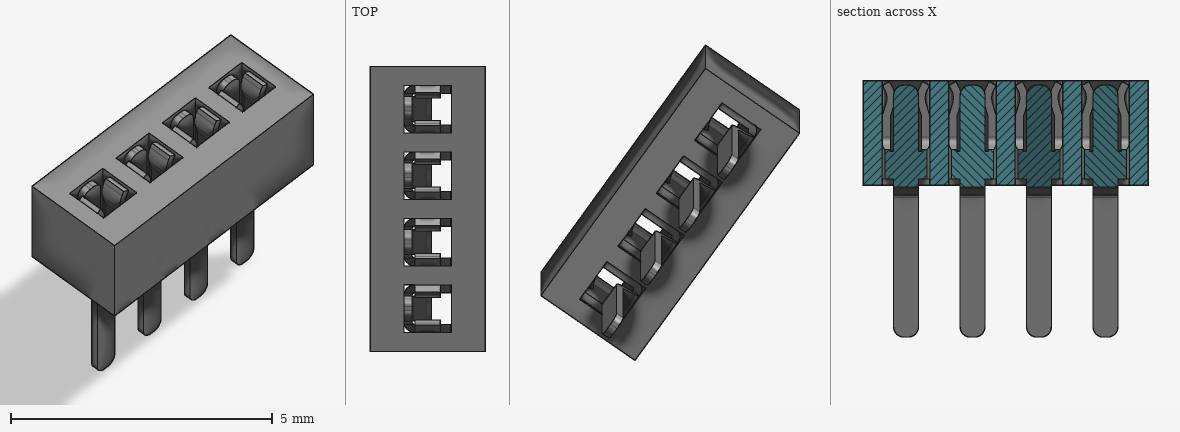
import cadquery as cq
import math

housing_width = 2.2
housing_length = 5.45
housing_height = 2.0
contact_count = 4
pitch = 1.27
hole_size = 0.905

sheet = 0.15
bend_inner = 0.05
bend_outer = bend_inner + sheet

half_hole = hole_size / 2
inner_face = half_hole - sheet
strap_end = 0.44
strap_top = 0.655

tongue_width = 0.48
tongue_top = 1.92
round_radius = 0.2

tail_tilt = math.radians(28)
tail_bottom = -2.9
tail_straight_top = -0.23

arm_start = -0.245
arm_width = 0.485
arm_end = arm_start + arm_width
root_radius = 0.27
contact_half_gap = 0.21
contact_height = 1.67
contact_radius = 0.485
lead_in_tilt = math.radians(28)
lead_in_length = 0.1
lower_tilt = math.radians(17)


def polar(center, radius, angle):
    """Point at the given radius and angle (counterclockwise) from a centre."""
    return (center[0] + radius * math.cos(angle), center[1] + radius * math.sin(angle))


slope_normal = math.pi / 2 - tail_tilt
lower_center = (sheet / 2 - bend_outer, tail_straight_top)
upper_center_x = -inner_face + bend_inner
slope_end = polar(lower_center, bend_outer, slope_normal)
slope_start_x = upper_center_x - bend_inner * math.cos(slope_normal)
slope_start_z = slope_end[1] + (slope_end[0] - slope_start_x) * math.tan(tail_tilt)
strap_bottom = slope_start_z + bend_inner * math.sin(slope_normal)
upper_center = (upper_center_x, strap_bottom)


def make_housing():
    block = cq.Workplane("XY").box(
        housing_width, housing_length, housing_height, centered=(True, True, False)
    )
    holes = (
        cq.Workplane("XY")
        .rarray(0.055, pitch, 1, contact_count)
        .rect(hole_size, hole_size)
        .extrude(housing_height)
    )
    return block.cut(holes)


def strap_column(top):
    """U section with bent corners, open toward +X, from the strap bottom to a given height."""
    height = top - strap_bottom
    outer = (
        cq.Workplane("XY")
        .box(half_hole + strap_end, hole_size, height, centered=(False, True, False))
        .translate((-half_hole, 0, strap_bottom))
        .edges("|Z and <X")
        .fillet(bend_outer)
    )
    inner = (
        cq.Workplane("XY")
        .box(inner_face + strap_end, 2 * inner_face, height, centered=(False, True, False))
        .translate((-inner_face, 0, strap_bottom))
        .edges("|Z and <X")
        .fillet(bend_inner)
    )
    return outer.cut(inner)


def make_tongue():
    return (
        cq.Workplane("XY")
        .box(sheet, tongue_width, tongue_top - strap_top, centered=(False, True, False))
        .translate((-half_hole, 0, strap_top))
        .edges("|X and >Z")
        .fillet(round_radius)
    )


def make_arm_roots():
    """Concave blends from the strap sides up into the arms, trimmed to the bent strap section."""
    root_top = strap_top + root_radius
    corner_drop = root_radius * (1 - math.sqrt(0.5))
    blends = (
        cq.Workplane("XZ")
        .moveTo(arm_start - root_radius, strap_top)
        .threePointArc((arm_start - corner_drop, strap_top + corner_drop), (arm_start, root_top))
        .lineTo(arm_end, root_top)
        .threePointArc((arm_end + corner_drop, strap_top + corner_drop), (arm_end + root_radius, strap_top))
        .close()
        .extrude(half_hole, both=True)
    )
    between_sides = cq.Workplane("XY").box(2 * hole_size, 2 * inner_face, 2 * root_top)
    return blends.intersect(strap_column(root_top)).cut(between_sides)


def make_arm():
    """Spring arm on the +Y side: vertical root, inward lean, contact bulge and flared lead-in."""
    bulge_center = (contact_half_gap + contact_radius, contact_height)
    back_radius = contact_radius - sheet
    lead_in_angle = math.pi - lead_in_tilt
    lower_angle = math.pi + lower_tilt
    lead_in_direction = math.pi / 2 - lead_in_tilt

    lean_top = polar(bulge_center, contact_radius, lower_angle)
    bend_y = inner_face - bend_inner
    lean_bottom_y = bend_y + bend_inner * math.cos(lower_tilt)
    lean_bottom_z = lean_top[1] - (lean_bottom_y - lean_top[0]) / math.tan(lower_tilt)
    bend_center = (bend_y, lean_bottom_z - bend_inner * math.sin(lower_tilt))

    front_tip = polar(polar(bulge_center, contact_radius, lead_in_angle), lead_in_length, lead_in_direction)
    back_tip = polar(polar(bulge_center, back_radius, lead_in_angle), lead_in_length, lead_in_direction)
    return (
        cq.Workplane("YZ", origin=(arm_start, 0, 0))
        .moveTo(inner_face, strap_top)
        .lineTo(*polar(bend_center, bend_inner, 0))
        .threePointArc(
            polar(bend_center, bend_inner, lower_tilt / 2), polar(bend_center, bend_inner, lower_tilt)
        )
        .lineTo(*lean_top)
        .threePointArc(
            polar(bulge_center, contact_radius, math.pi), polar(bulge_center, contact_radius, lead_in_angle)
        )
        .lineTo(*front_tip)
        .lineTo(*back_tip)
        .lineTo(*polar(bulge_center, back_radius, lead_in_angle))
        .threePointArc(
            polar(bulge_center, back_radius, math.pi), polar(bulge_center, back_radius, lower_angle)
        )
        .lineTo(*polar(bend_center, bend_outer, lower_tilt))
        .threePointArc(
            polar(bend_center, bend_outer, lower_tilt / 2), polar(bend_center, bend_outer, 0)
        )
        .lineTo(half_hole, strap_top)
        .close()
        .extrude(arm_width)
    )


def make_tail():
    """Tail leaving the back of the strap: bend, sloped run, bend and straight pin with a rounded tip."""
    slope_back = slope_normal + math.pi
    upper_middle = (math.pi + slope_back) / 2
    lower_middle = slope_normal / 2
    return (
        cq.Workplane("XZ")
        .moveTo(-inner_face, strap_bottom)
        .threePointArc(
            polar(upper_center, bend_inner, upper_middle), polar(upper_center, bend_inner, slope_back)
        )
        .lineTo(*slope_end)
        .threePointArc(
            polar(lower_center, bend_outer, lower_middle), polar(lower_center, bend_outer, 0)
        )
        .lineTo(sheet / 2, tail_bottom)
        .lineTo(-sheet / 2, tail_bottom)
        .lineTo(*polar(lower_center, bend_inner, 0))
        .threePointArc(
            polar(lower_center, bend_inner, lower_middle), polar(lower_center, bend_inner, slope_normal)
        )
        .lineTo(*polar(upper_center, bend_outer, slope_back))
        .threePointArc(
            polar(upper_center, bend_outer, upper_middle), polar(upper_center, bend_outer, math.pi)
        )
        .close()
        .extrude(tongue_width / 2, both=True)
        .edges("|X and <Z")
        .fillet(round_radius)
    )


def make_contact():
    arm = make_arm()
    return (
        strap_column(strap_top)
        .union(make_tongue())
        .union(make_arm_roots())
        .union(arm)
        .union(arm.mirror("XZ"))
        .union(make_tail())
    )


housing = make_housing()
contact = make_contact()
first_contact_y = -pitch * (contact_count - 1) / 2
contacts = [
    contact.translate((0, first_contact_y + index * pitch, 0)).val()
    for index in range(contact_count)
]

result = cq.Compound.makeCompound([housing.val(), *contacts])